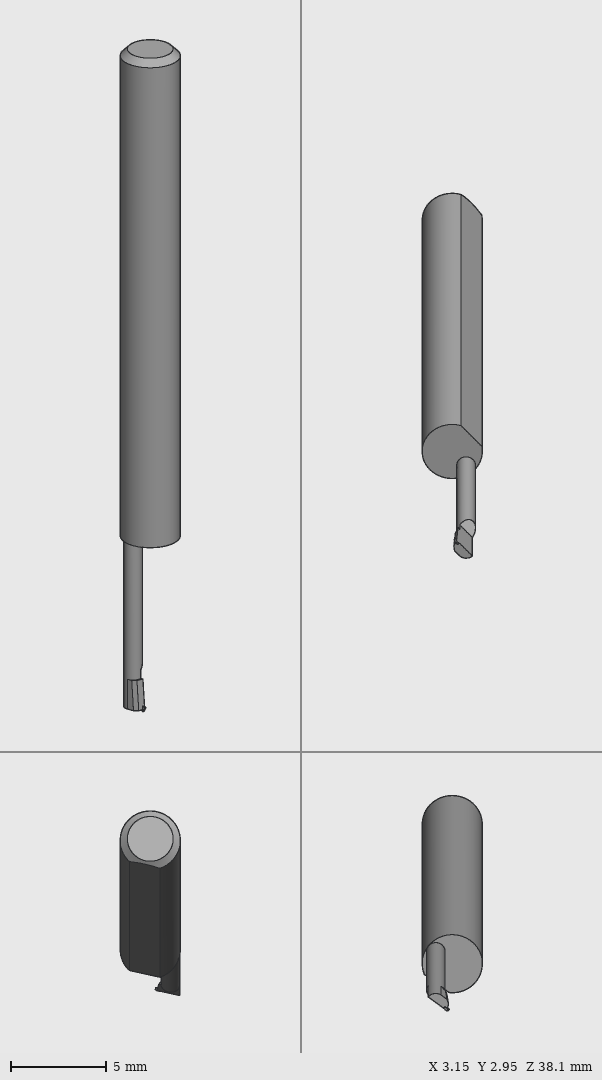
import cadquery as cq

total_length = 38.1
shank_diameter = 3.15
depth_over_flat = 2.95
shank_bottom = 10.17
top_chamfer = 0.4

neck_diameter = 1.0
neck_bottom = 0.1
rake_top = 2.32

head_top = 1.83
head_left = -1.1
head_growth = 0.1
head_depth = 0.5
back_edge_x = -0.85
side_edge_x = -0.6
side_edge_y = -0.35
cutting_edge_x = -0.45
nose_left = -0.57
nose_tip_x = -0.4
nose_corner_x = -0.25
nose_corner_z = 0.23
nose_thickness = 0.1

shank_radius = shank_diameter / 2
neck_radius = neck_diameter / 2
flat_y = depth_over_flat - shank_radius
neck_x = neck_radius - shank_radius


def make_shank():
    """Round shank with a chamfered top and one flat on the +Y side."""
    shank = (
        cq.Workplane("XY").workplane(offset=shank_bottom)
        .circle(shank_radius).extrude(total_length - shank_bottom)
        .faces(">Z").chamfer(top_chamfer)
    )
    flat_cutter = (
        cq.Workplane("XY").workplane(offset=shank_bottom)
        .center(0, flat_y + shank_radius)
        .rect(2 * shank_diameter, shank_diameter).extrude(total_length)
    )
    return shank.cut(flat_cutter)


def make_neck():
    """Eccentric round neck, cut to half at the bottom with a 45 degree runout."""
    neck = (
        cq.Workplane("XY").workplane(offset=neck_bottom)
        .center(neck_x, 0).circle(neck_radius).extrude(shank_bottom - neck_bottom)
    )
    half_cutter = (
        cq.Workplane("YZ")
        .moveTo(0, 0)
        .lineTo(neck_diameter, 0)
        .lineTo(neck_diameter, rake_top + neck_diameter)
        .lineTo(0, rake_top)
        .close()
        .extrude(shank_diameter, both=True)
    )
    return neck.cut(half_cutter)


def head_section(flare):
    """Faceted outline behind the cutting face, shifted outward by the flare."""
    return [
        (head_left, 0),
        (head_left, -head_depth),
        (back_edge_x + flare, -head_depth),
        (side_edge_x + flare, side_edge_y),
        (cutting_edge_x + flare, 0),
    ]


def make_head():
    """Flaring head with flat relief facets and a small pointed nose."""
    head = (
        cq.Workplane("XY").workplane(offset=neck_bottom)
        .polyline(head_section(head_growth)).close()
        .workplane(offset=head_top - neck_bottom)
        .polyline(head_section(0)).close()
        .loft(ruled=True)
    )
    nose = (
        cq.Workplane("XZ")
        .moveTo(nose_left, neck_bottom)
        .lineTo(nose_tip_x, 0)
        .lineTo(nose_corner_x, nose_corner_z)
        .lineTo(nose_left, 2 * nose_corner_z)
        .close()
        .extrude(nose_thickness)
    )
    return head.union(nose)


result = make_shank().union(make_neck()).union(make_head())